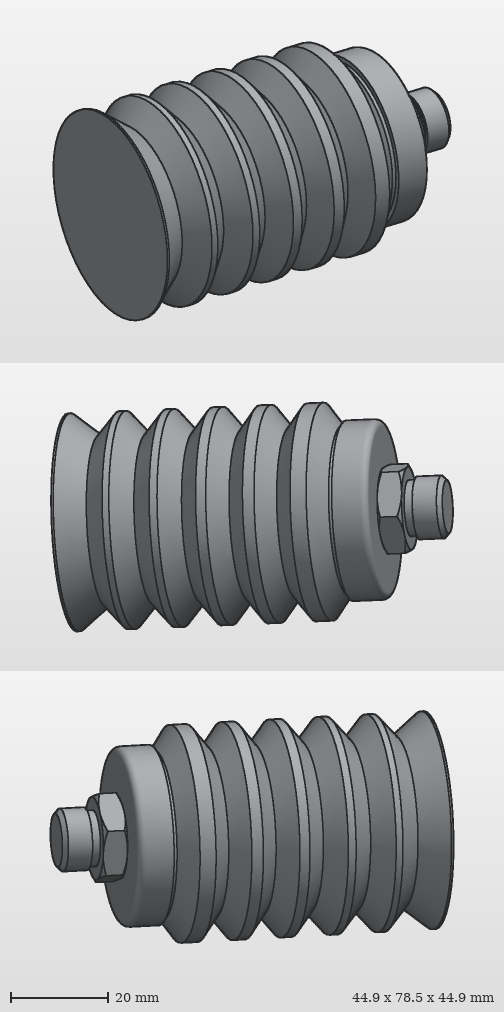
import cadquery as cq
import math

length = 78.5

fold_radius = 44.9 / 2
valley_radius = 35.5 / 2
lip_rim = 0.5
first_valley = 6.4
fold_pitch = 10.0
fold_lands = [1.4, 1.65, 2.1, 2.4]
last_fold_land = 3.4
fold_flank = 3.8

neck_radius = 35.0 / 2
neck_length = 0.9
collar_radius = 37.2 / 2
collar_top = 65.5
collar_height = 7.45
collar_fillet = 1.5

nut_flats = 17.0
nut_height = 5.1
nut_turn = 38.9
nut_chamfer_angle = 30.0

relief_radius = 11.6 / 2
stud_radius = 13.0 / 2
stud_length = 6.1
stud_chamfer = 1.0


def cylinder(radius, start, end):
    """Cylinder about Y between two Y positions."""
    return cq.Workplane("XZ", origin=(0, start, 0)).circle(radius).extrude(start - end)


def revolve_profile(points):
    """Solid of revolution about Y from (radius, Y) points that close on the axis."""
    return cq.Workplane("XY").polyline(points).close().revolve(360, (0, 0), (0, 1))


def make_bellows():
    points = [(0, 0), (fold_radius, 0), (fold_radius, lip_rim)]
    for index, land in enumerate(fold_lands):
        valley = first_valley + index * fold_pitch
        land_middle = valley + fold_pitch / 2
        points.append((valley_radius, valley))
        points.append((fold_radius, land_middle - land / 2))
        points.append((fold_radius, land_middle + land / 2))
    last_valley = first_valley + len(fold_lands) * fold_pitch
    last_land_start = last_valley + fold_flank
    last_land_end = last_land_start + last_fold_land
    bellows_top = collar_top - collar_height - neck_length
    points += [
        (valley_radius, last_valley),
        (fold_radius, last_land_start),
        (fold_radius, last_land_end),
        (neck_radius, bellows_top),
        (0, bellows_top),
    ]
    return revolve_profile(points)


def make_collar():
    collar_bottom = collar_top - collar_height
    neck = cylinder(neck_radius, collar_bottom - neck_length, collar_bottom)
    collar = cylinder(collar_radius, collar_bottom, collar_top).faces(">Y").edges().fillet(collar_fillet)
    return neck.union(collar)


def make_nut():
    corner_radius = nut_flats / 2 / math.cos(math.pi / 6)
    corners = []
    for index in range(6):
        angle = math.radians(nut_turn + 60 * index)
        corners.append((corner_radius * math.cos(angle), corner_radius * math.sin(angle)))
    prism = cq.Workplane("XZ", origin=(0, collar_top, 0)).polyline(corners).close().extrude(-nut_height)
    chamfer_drop = (corner_radius - nut_flats / 2) * math.tan(math.radians(nut_chamfer_angle))
    nut_top = collar_top + nut_height
    envelope = revolve_profile([
        (0, collar_top),
        (nut_flats / 2, collar_top),
        (corner_radius, collar_top + chamfer_drop),
        (corner_radius, nut_top - chamfer_drop),
        (nut_flats / 2, nut_top),
        (0, nut_top),
    ])
    return prism.intersect(envelope)


def make_stud():
    stud_start = length - stud_length
    relief = cylinder(relief_radius, collar_top + nut_height, stud_start)
    stud = cylinder(stud_radius, stud_start, length).faces(">Y").edges().chamfer(stud_chamfer)
    return relief.union(stud)


result = make_bellows().union(make_collar()).union(make_nut()).union(make_stud())